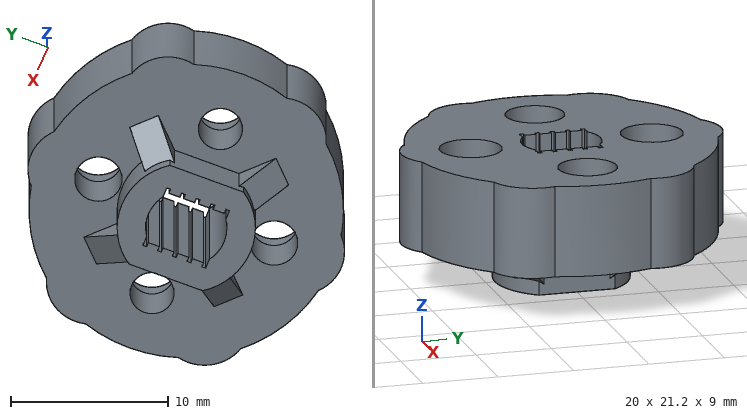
import cadquery as cq

plate_diameter = 20.0
plate_height = 6.0
lobe_count = 6
lobe_tip_radius = 10.6
lobe_radius = 2.9

hub_height = 3.0
hub_diameter = 8.8
hub_width = 7.2

rib_thickness = 2.0
rib_top_reach = 6.67
rib_bottom_reach = 3.28

screw_offset = 6.0
bore_diameter_x = 3.8
bore_diameter_y = 4.0
through_diameter_x = 2.8
through_diameter_y = 3.0
bore_depth = 2.0
seat_depth = 0.5

opening_width = 3.6
opening_length = 4.28
opening_round_diameter = 5.17
groove_span = 4.2
groove_width = 0.25
groove_count = 5
groove_pitch = (opening_length - groove_width) / (groove_count - 1)

total_height = hub_height + plate_height


def make_plate():
    plate = cq.Workplane("XY").workplane(offset=hub_height).circle(plate_diameter / 2).extrude(plate_height)
    lobes = (
        cq.Workplane("XY")
        .workplane(offset=hub_height)
        .polarArray(lobe_tip_radius - lobe_radius, 90, 360, lobe_count)
        .circle(lobe_radius)
        .extrude(plate_height)
    )
    return plate.union(lobes)


def make_hub():
    flats = cq.Workplane("XY").rect(hub_width, hub_diameter).extrude(hub_height)
    return cq.Workplane("XY").circle(hub_diameter / 2).extrude(hub_height).intersect(flats)


def make_rib(angle):
    return (
        cq.Workplane("XZ")
        .moveTo(-rib_bottom_reach, 0)
        .lineTo(rib_bottom_reach, 0)
        .lineTo(rib_top_reach, hub_height)
        .lineTo(-rib_top_reach, hub_height)
        .close()
        .extrude(rib_thickness / 2, both=True)
        .rotate((0, 0, 0), (0, 0, 1), angle)
    )


def make_screw_hole(bore_diameter, through_diameter, x, y):
    bore_radius = bore_diameter / 2
    through_radius = through_diameter / 2
    bore_floor = total_height - bore_depth
    return (
        cq.Workplane("XZ")
        .lineTo(through_radius, 0)
        .lineTo(through_radius, bore_floor - seat_depth)
        .lineTo(bore_radius, bore_floor)
        .lineTo(bore_radius, total_height)
        .lineTo(0, total_height)
        .close()
        .revolve(360, (0, 0), (0, 1))
        .translate((x, y, 0))
    )


def make_opening():
    sides = cq.Workplane("XY").rect(opening_width, opening_round_diameter).extrude(total_height)
    rounded = cq.Workplane("XY").circle(opening_round_diameter / 2).extrude(total_height).intersect(sides)
    square = cq.Workplane("XY").rect(opening_width, opening_length).extrude(total_height)
    grooves = (
        cq.Workplane("XY")
        .rarray(0.21, groove_pitch, 1, groove_count)
        .rect(groove_span, groove_width)
        .extrude(total_height)
    )
    return rounded.union(square).union(grooves)


result = make_plate().union(make_hub())
for rib_angle in (45, -45):
    result = result.union(make_rib(rib_angle))
for side in (-1, 1):
    result = result.cut(make_screw_hole(bore_diameter_x, through_diameter_x, side * screw_offset, 0))
    result = result.cut(make_screw_hole(bore_diameter_y, through_diameter_y, 0, side * screw_offset))
result = result.cut(make_opening())